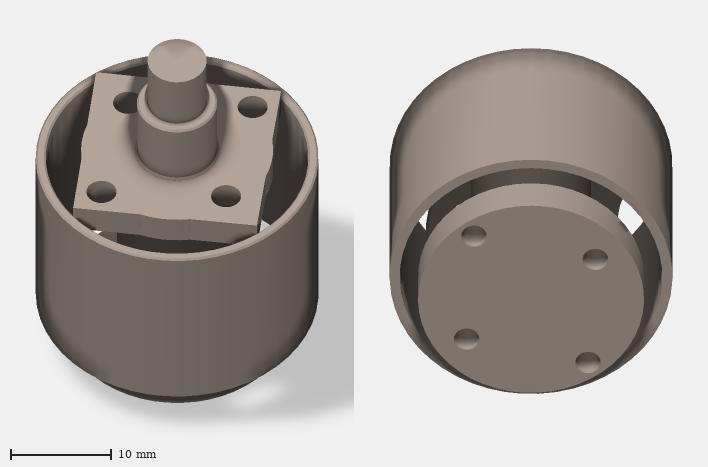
import cadquery as cq

TOTAL_HEIGHT = 38.0
SLEEVE_BOTTOM = 4.0
SLEEVE_TOP = 24.0
PLATE_TOP = 25.0
PLATE_THICKNESS = 3.0
PLATE_BOTTOM = PLATE_TOP - PLATE_THICKNESS
COLLAR_TOP = 32.0

SLEEVE_OUTER_DIAMETER = 28.2
SLEEVE_INNER_DIAMETER = 26.2
BASE_DIAMETER = 22.55
NECK_DIAMETER = 12.0
PLATE_BULGE_DIAMETER = 19.15
COLLAR_DIAMETER = 8.0
COLLAR_FOOT_DIAMETER = 8.45
SHAFT_DIAMETER = 5.9

SLEEVE_CHAMFER = 0.2
COLLAR_CHAMFER = 0.2
COLLAR_FOOT_HEIGHT = 0.23

PLATE_LEFT_CORNER = 13.25
PLATE_CORNER = 13.07

PLATE_HOLE_DIAMETER = 3.0
BASE_HOLE_DIAMETER = 2.55
HOLE_OFFSET_X = 8.0
HOLE_OFFSET_Y = 9.5


def cylinder(diameter, bottom, top):
    """Solid cylinder on the Z axis between two heights."""
    return cq.Workplane("XY").workplane(offset=bottom).circle(diameter / 2).extrude(top - bottom)


def make_sleeve():
    """Open tube with its top edges broken."""
    outer = cylinder(SLEEVE_OUTER_DIAMETER, SLEEVE_BOTTOM, SLEEVE_TOP)
    bore = cylinder(SLEEVE_INNER_DIAMETER, SLEEVE_BOTTOM, SLEEVE_TOP)
    return outer.cut(bore).faces(">Z").edges().chamfer(SLEEVE_CHAMFER)


def make_plate():
    """Diamond plate whose sides bulge where a central disc passes through them."""
    corners = [
        (-PLATE_LEFT_CORNER, 0),
        (0, -PLATE_CORNER),
        (PLATE_CORNER, 0),
        (0, PLATE_CORNER),
    ]
    diamond = (
        cq.Workplane("XY")
        .workplane(offset=PLATE_BOTTOM)
        .polyline(corners)
        .close()
        .extrude(PLATE_THICKNESS)
    )
    return diamond.union(cylinder(PLATE_BULGE_DIAMETER, PLATE_BOTTOM, PLATE_TOP))


def make_collar():
    """Shaft collar with a broken top edge and a small flared foot."""
    collar = cylinder(COLLAR_DIAMETER, PLATE_TOP, COLLAR_TOP).faces(">Z").chamfer(COLLAR_CHAMFER)
    foot_flare = (COLLAR_FOOT_DIAMETER - COLLAR_DIAMETER) / 2
    foot = (
        cylinder(COLLAR_FOOT_DIAMETER, PLATE_TOP, PLATE_TOP + COLLAR_FOOT_HEIGHT)
        .faces(">Z")
        .edges()
        .chamfer(foot_flare)
    )
    return collar.union(foot)


def make_holes(diameter, bottom, top):
    """Four hole cutters, one near each corner of the plate."""
    centres = [
        (-HOLE_OFFSET_X, 0),
        (HOLE_OFFSET_X, 0),
        (0, -HOLE_OFFSET_Y),
        (0, HOLE_OFFSET_Y),
    ]
    return (
        cq.Workplane("XY")
        .workplane(offset=bottom)
        .pushPoints(centres)
        .circle(diameter / 2)
        .extrude(top - bottom)
    )


base = cylinder(BASE_DIAMETER, 0, SLEEVE_BOTTOM)
neck = cylinder(NECK_DIAMETER, SLEEVE_BOTTOM, PLATE_BOTTOM)
body = base.union(neck).union(make_plate())
body = body.cut(make_holes(BASE_HOLE_DIAMETER, 0, PLATE_TOP))
body = body.cut(make_holes(PLATE_HOLE_DIAMETER, PLATE_BOTTOM, PLATE_TOP))
shaft = cylinder(SHAFT_DIAMETER, PLATE_TOP, TOTAL_HEIGHT)

result = body.union(make_sleeve()).union(make_collar()).union(shaft)